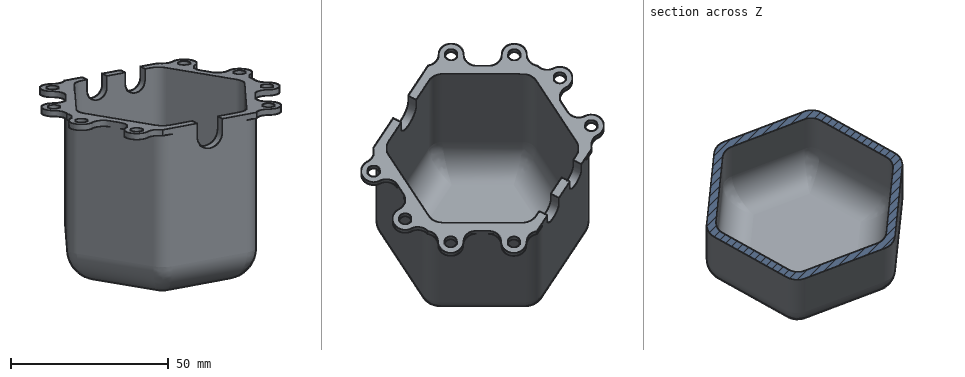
import cadquery as cq
import math

width = 60.0
height = 57.0
wall = 3.0
floor = wall
outer_corner_radius = 6.0
outer_bottom_radius = 11.0
inner_corner_radius = 5.0
inner_bottom_radius = 10.0

flange_thickness = 2.0
ear_radius = 4.0
ear_fillet = 4.0
hole_diameter = 4.0
ear_spacing = 20.0
ear_offset = ear_fillet
ear_face_angles = (60, 120, 240, 300)

small_slot_width = 7.3
small_slot_spacing = 14.15
small_slot_depth = 7.4
large_slot_width = 9.4
large_slot_depth = 9.0

half_width = width / 2
flange_bottom = height - flange_thickness


def hexagon_prism(across_flats, bottom, top):
    """Upright hexagonal prism with corners on the Y axis."""
    corner_distance = across_flats / math.sqrt(3)
    corners = []
    for i in range(6):
        angle = math.radians(90 + 60 * i)
        corners.append((corner_distance * math.cos(angle), corner_distance * math.sin(angle)))
    return cq.Workplane("XY").workplane(offset=bottom).polyline(corners).close().extrude(top - bottom)


def rounded_prism(across_flats, bottom, corner_radius, bottom_radius):
    """Prism up to the rim, with rounded bottom edge and upright corners.

    The bottom is rounded first, so the corner rounding follows the edges
    between the bottom roundings and fades out at the corners of the flat floor.
    """
    prism = hexagon_prism(across_flats, bottom, height)
    prism = prism.faces("<Z").edges().fillet(bottom_radius)
    return prism.edges("|Z").fillet(corner_radius)


def ear(side):
    """One ear placed on the +X face, ready to be turned, toward +Y (side = 1) or -Y (side = -1).

    The blend at its foot runs past the hexagon corner, so the neck is cut off
    at the 60 degree sector of its face.
    """
    ear_x = half_width + ear_offset
    ear_y = side * ear_spacing / 2
    neck_half = ear_radius
    foot_half = ear_radius + ear_fillet
    bend = ear_fillet * (1 - math.sqrt(0.5))
    plane = cq.Workplane("XY").workplane(offset=flange_bottom)
    neck = (
        plane.moveTo(half_width - wall, ear_y - foot_half)
        .lineTo(half_width, ear_y - foot_half)
        .threePointArc((half_width + bend, ear_y - neck_half - bend), (ear_x, ear_y - neck_half))
        .lineTo(ear_x, ear_y + neck_half)
        .threePointArc((half_width + bend, ear_y + neck_half + bend), (half_width, ear_y + foot_half))
        .lineTo(half_width - wall, ear_y + foot_half)
        .close()
        .extrude(flange_thickness)
    )
    disc = plane.center(ear_x, ear_y).circle(ear_radius).extrude(flange_thickness)
    hole = plane.center(ear_x, ear_y).circle(hole_diameter / 2).extrude(flange_thickness)
    sector_reach = 2 * half_width
    sector_half = sector_reach * math.tan(math.radians(30))
    sector = (
        plane.polyline([(0, 0), (sector_reach, -sector_half), (sector_reach, sector_half)])
        .close()
        .extrude(flange_thickness)
    )
    return neck.intersect(sector).union(disc).cut(hole)


def flange():
    """Sharp-cornered rim with its ears, trimmed flush with the flat X faces."""
    rim = hexagon_prism(width, flange_bottom, height)
    for angle in ear_face_angles:
        for side in (-1, 1):
            rim = rim.union(ear(side).rotate((0, 0, 0), (0, 0, 1), angle))
    trim = cq.Workplane("XY").box(width, 2 * width, 2 * height)
    return rim.intersect(trim)


def slot(x_side, y, slot_width, depth):
    """Cutter for a round-bottomed slot through the wall on one X side."""
    radius = slot_width / 2
    arc_height = height - depth + radius
    profile = (
        cq.Workplane("YZ")
        .moveTo(y - radius, height)
        .lineTo(y - radius, arc_height)
        .threePointArc((y, height - depth), (y + radius, arc_height))
        .lineTo(y + radius, height)
        .close()
    )
    return profile.extrude(x_side * half_width)


outer_body = rounded_prism(width, 0, outer_corner_radius, outer_bottom_radius)
cavity = rounded_prism(width - 2 * wall, floor, inner_corner_radius, inner_bottom_radius)

result = outer_body.union(flange()).cut(cavity)
for slot_y in (-small_slot_spacing / 2, small_slot_spacing / 2):
    result = result.cut(slot(-1, slot_y, small_slot_width, small_slot_depth))
result = result.cut(slot(1, 0, large_slot_width, large_slot_depth))